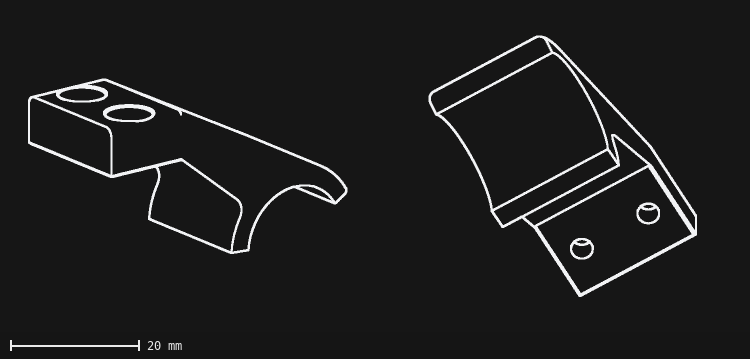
import cadquery as cq
import math

width = 21.0
length = 46.85
block_length = 14.05
block_thickness = 8.0
block_top = 26.0
block_bottom = block_top - block_thickness

inner_radius = 9.2
outer_radius = 12.55
front_end_angle = 180 - 3.8
rear_end_angle = 31.3
cradle_y = length - outer_radius * math.cos(math.radians(rear_end_angle))

underside_angle = 38.9
underside_fillet = 2.5

top_fillet = 1.3
bottom_chamfer = 0.3

hole_spacing = 12.0
hole_y = 7.0
hole_diameter = 3.35
counterbore_diameter = 7.35
counterbore_depth = 3.0
counterbore_chamfer = 0.25


def cradle_point(radius, angle):
    """Point (Y, Z) on a circle about the cradle axis, angle in degrees from +Y."""
    a = math.radians(angle)
    return cradle_y + radius * math.cos(a), radius * math.sin(a)


corner_distance = math.hypot(block_length - cradle_y, block_top)
corner_direction = math.degrees(math.atan2(block_top, block_length - cradle_y))
tangent_angle = corner_direction - math.degrees(math.acos(outer_radius / corner_distance))

slope_y = math.cos(math.radians(underside_angle))
slope_z = -math.sin(math.radians(underside_angle))
offset_y = block_length - cradle_y
along = offset_y * slope_y + block_bottom * slope_z
clearance = offset_y**2 + block_bottom**2 - outer_radius**2
underside_length = -along - math.sqrt(along**2 - clearance)
underside_end = (
    block_length + underside_length * slope_y,
    block_bottom + underside_length * slope_z,
)
crossing_angle = math.degrees(math.atan2(underside_end[1], underside_end[0] - cradle_y))


def make_body():
    """Side profile extruded across the full width, centred on X."""
    return (
        cq.Workplane("YZ")
        .moveTo(0, block_bottom)
        .lineTo(0, block_top)
        .lineTo(block_length, block_top)
        .lineTo(*cradle_point(outer_radius, tangent_angle))
        .threePointArc(
            cradle_point(outer_radius, (tangent_angle + rear_end_angle) / 2),
            cradle_point(outer_radius, rear_end_angle),
        )
        .lineTo(*cradle_point(inner_radius, rear_end_angle))
        .threePointArc(
            cradle_point(inner_radius, (rear_end_angle + front_end_angle) / 2),
            cradle_point(inner_radius, front_end_angle),
        )
        .lineTo(*cradle_point(outer_radius, front_end_angle))
        .threePointArc(
            cradle_point(outer_radius, (front_end_angle + crossing_angle) / 2),
            underside_end,
        )
        .lineTo(block_length, block_bottom)
        .close()
        .extrude(width / 2, both=True)
    )


def edges_near(body, *points):
    """Select the edge closest to each given point."""
    edges = []
    for point in points:
        edges += body.edges(cq.selectors.NearestToPointSelector(point)).vals()
    return body.newObject(edges)


def round_and_chamfer(body):
    """Round the arm underside and the top side edges, then chamfer the block bottom."""
    body = edges_near(body, (0, *underside_end)).fillet(underside_fillet)

    tangent_point = cradle_point(outer_radius, tangent_angle)
    slope_middle = ((block_length + tangent_point[0]) / 2, (block_top + tangent_point[1]) / 2)
    arc_middle = cradle_point(outer_radius, (tangent_angle + rear_end_angle) / 2)
    top_middles = [(block_length / 2, block_top), slope_middle, arc_middle]
    top_points = [(side * width / 2, *p) for side in (-1, 1) for p in top_middles]
    body = edges_near(body, *top_points).fillet(top_fillet)

    bottom_points = [(side * width / 2, block_length / 2, block_bottom) for side in (-1, 1)]
    bottom_points.append((0, 0, block_bottom))
    return edges_near(body, *bottom_points).chamfer(bottom_chamfer)


def screw_hole(x):
    """Cutter for one through hole with a counterbore and a chamfered mouth."""
    bore = cq.Workplane("XY", origin=(x, hole_y, block_bottom))
    bore = bore.circle(hole_diameter / 2).extrude(block_thickness)
    seat = cq.Workplane("XY", origin=(x, hole_y, block_top - counterbore_depth))
    seat = seat.circle(counterbore_diameter / 2).extrude(counterbore_depth)
    mouth = cq.Workplane("XY", origin=(x, hole_y, block_top))
    mouth = mouth.circle(counterbore_diameter / 2 + counterbore_chamfer)
    mouth = mouth.extrude(-counterbore_chamfer, taper=45)
    return bore.union(seat).union(mouth)


result = round_and_chamfer(make_body())
for hole_side in (-1, 1):
    result = result.cut(screw_hole(hole_side * hole_spacing / 2))